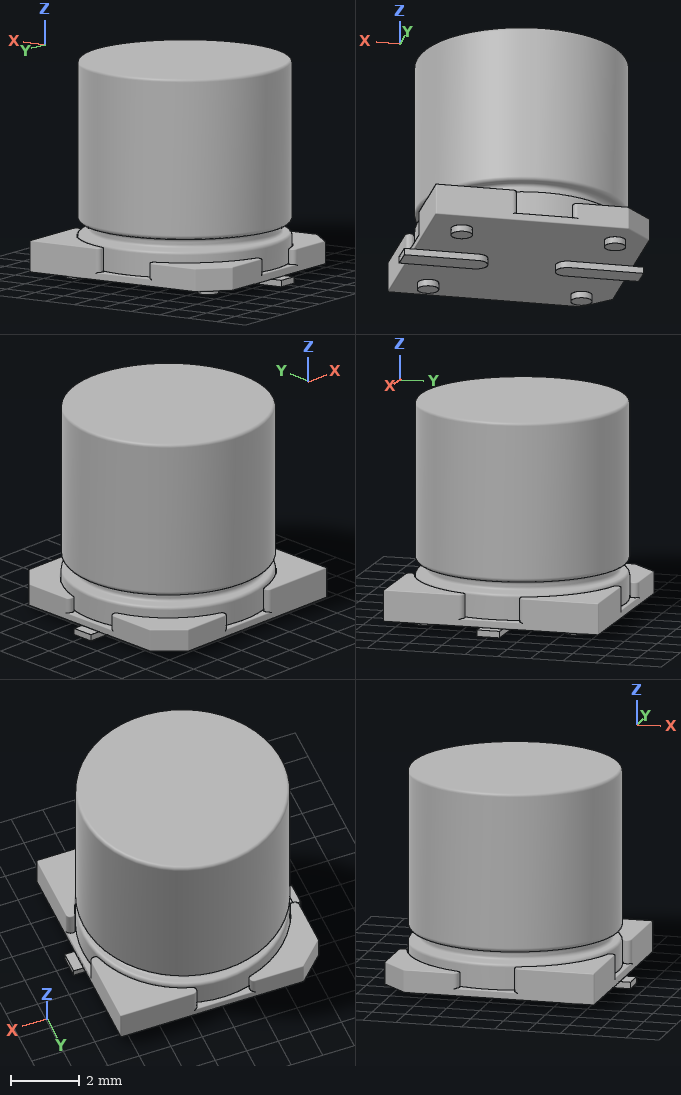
import cadquery as cq

OVERALL_LENGTH = 7.2
OVERALL_HEIGHT = 6.4
BASE_WIDTH = 6.6
FOOT_HEIGHT = 0.2
CORNER_CHAMFER = 0.8

FLOOR_TOP = 0.44
LOW_CORNER_TOP = 0.9
HIGH_CORNER_TOP = 1.16
NOTCH_HALF_WIDTH = 0.84
SEAT_DIAMETER = 6.35
NOSE_OUTER_RADIUS = 0.145
NOSE_INNER_RADIUS = 0.09
EDGE_RADIUS = 0.035

CAN_DIAMETER = 6.3
GROOVE_DIAMETER = 5.67
GROOVE_CENTER_Z = 1.405
GROOVE_FLAT = 0.08
CRIMP_RADIUS = 0.12
CAN_TOP_RADIUS = 0.12

PEG_DIAMETER = 0.63
PEG_OFFSET = 2.305
TERMINAL_WIDTH = 0.705
TERMINAL_INNER_END = 1.02


def base_prism(bottom, top):
    """Square base outline with two cut corners and softened vertical edges."""
    return (
        cq.Workplane("XY", origin=(0, 0, bottom))
        .rect(BASE_WIDTH, BASE_WIDTH)
        .extrude(top - bottom)
        .edges("|Z and <X")
        .chamfer(CORNER_CHAMFER)
        .edges("|Z")
        .fillet(EDGE_RADIUS)
    )


def base_floor():
    return base_prism(FOOT_HEIGHT, FLOOR_TOP).faces("<Z or >Z").edges().fillet(EDGE_RADIUS)


def corner_block(x_side, y_side, top):
    """One corner block: the base outline outside the can seat and the side notches."""
    bottom = (FOOT_HEIGHT + FLOOR_TOP) / 2
    height = top - bottom
    size = BASE_WIDTH / 2 - NOTCH_HALF_WIDTH
    middle = NOTCH_HALF_WIDTH + size / 2
    plane = cq.Workplane("XY", origin=(0, 0, bottom))
    quarter = plane.center(x_side * middle, y_side * middle).rect(size, size).extrude(height)
    seat_radius = SEAT_DIAMETER / 2
    seat = plane.circle(seat_radius).extrude(height)
    block = base_prism(bottom, top).intersect(quarter).cut(seat)

    seat_reach = (seat_radius**2 - NOTCH_HALF_WIDTH**2) ** 0.5
    ends = (
        (BASE_WIDTH / 2, NOSE_OUTER_RADIUS),
        (seat_reach, NOSE_INNER_RADIUS),
    )
    for reach, radius in ends:
        for x, y in ((reach, NOTCH_HALF_WIDTH), (NOTCH_HALF_WIDTH, reach)):
            corner = cq.NearestToPointSelector((x_side * x, y_side * y, bottom + height / 2))
            block = block.edges("|Z").edges(corner).fillet(radius)
    return block.faces(">Z").edges().fillet(EDGE_RADIUS)


def can():
    """Round can with a crimped groove, as a profile turned about Z."""
    wall = CAN_DIAMETER / 2
    groove = GROOVE_DIAMETER / 2
    r = CRIMP_RADIUS
    half_flat = GROOVE_FLAT / 2
    low_side = GROOVE_CENTER_Z - half_flat - r
    high_side = GROOVE_CENTER_Z + half_flat + r
    diagonal = r * 0.5**0.5
    profile = (
        cq.Workplane("XZ")
        .moveTo(0, FOOT_HEIGHT + EDGE_RADIUS)
        .lineTo(wall, FOOT_HEIGHT + EDGE_RADIUS)
        .lineTo(wall, low_side - r)
        .threePointArc((wall - r + diagonal, low_side - r + diagonal), (wall - r, low_side))
        .lineTo(groove + r, low_side)
        .threePointArc((groove + r - diagonal, low_side + r - diagonal), (groove, low_side + r))
        .lineTo(groove, high_side - r)
        .threePointArc((groove + r - diagonal, high_side - r + diagonal), (groove + r, high_side))
        .lineTo(wall - r, high_side)
        .threePointArc((wall - r + diagonal, high_side + r - diagonal), (wall, high_side + r))
        .lineTo(wall, OVERALL_HEIGHT)
        .lineTo(0, OVERALL_HEIGHT)
        .close()
    )
    return profile.revolve(360, (0, 0), (0, 1)).faces(">Z").edges().fillet(CAN_TOP_RADIUS)


def terminal(x_side):
    """Flat terminal under the base, with a full-round inner end."""
    outer = OVERALL_LENGTH / 2
    round_center = TERMINAL_INNER_END + TERMINAL_WIDTH / 2
    strip = (
        cq.Workplane("XY")
        .center(x_side * (outer + round_center) / 2, 0)
        .rect(outer - round_center, TERMINAL_WIDTH)
        .extrude(FOOT_HEIGHT)
    )
    inner_end = (
        cq.Workplane("XY")
        .center(x_side * round_center, 0)
        .circle(TERMINAL_WIDTH / 2)
        .extrude(FOOT_HEIGHT)
    )
    return strip.union(inner_end)


def pegs():
    return (
        cq.Workplane("XY")
        .rect(2 * PEG_OFFSET, 2 * PEG_OFFSET, forConstruction=True)
        .vertices()
        .circle(PEG_DIAMETER / 2)
        .extrude(FOOT_HEIGHT)
    )


result = base_floor()
for y_side in (-1, 1):
    result = result.union(corner_block(-1, y_side, LOW_CORNER_TOP))
    result = result.union(corner_block(1, y_side, HIGH_CORNER_TOP))
result = result.union(can()).union(pegs())
for x_side in (-1, 1):
    result = result.union(terminal(x_side))